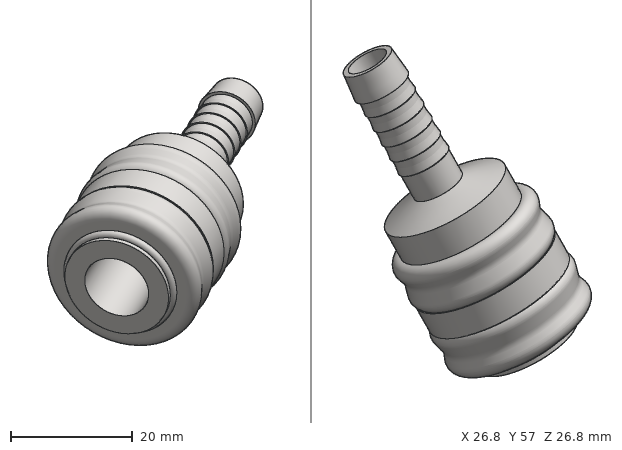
import cadquery as cq
import math

total_length = 57.0

nose_radius = 9.05
nose_length = 0.85
collar_radius = 9.8
collar_round = collar_radius - nose_radius

sleeve_start = 1.95
sleeve_end = 24.0
sleeve_middle = (sleeve_start + sleeve_end) / 2
crest_radius = 13.4
valley_radius = 12.75
waist_radius = 13.05
waist_half_length = 2.5
crest_round = 1.8
valley_round = 1.8
valley_offset = 6.85
inner_crest_offset = 3.9
outer_crest_offset = (sleeve_end - sleeve_start) / 2 - crest_round

body_radius = 11.25
body_end = 29.6
shoulder_end = 32.0

tail_radius = 4.5
tip_barb_radius = 5.0
tip_barb_length = 5.0
ridge_radius = 4.75
ridge_count = 5
ridge_length = 1.5

socket_radius = 5.6
socket_depth = 23.95
seat_radius = 4.55
seat_cone_length = 1.0
through_radius = 3.55


def crest_point(offset, angle):
    """Point (radius, axial offset) on a crest round; angle is from the radial direction."""
    center = crest_radius - crest_round
    return (center + crest_round * math.cos(angle), offset + crest_round * math.sin(angle))


def valley_point(angle):
    """Point (radius, axial offset) on the valley round; angle is from the radial direction."""
    center = valley_radius + valley_round
    return (center - valley_round * math.cos(angle), valley_offset + valley_round * math.sin(angle))


def flank_angle(crest_offset):
    """Slope of the straight flank tangent to a crest round and the valley round."""
    axial = abs(crest_offset - valley_offset)
    rounds = crest_round + valley_round
    radial = rounds - (crest_radius - valley_radius)
    return math.atan2(axial, radial) - math.acos(rounds / math.hypot(axial, radial))


def revolve(profile):
    return profile.close().revolve(360, (0, 0, 0), (0, 1, 0))


def make_band():
    """Rounded grip band on the rear side of the sleeve; its rounds meet at the crests and valley floor."""
    inner_flank = flank_angle(inner_crest_offset)
    outer_flank = flank_angle(outer_crest_offset)
    inner_end_angle = -math.asin((inner_crest_offset - waist_half_length) / crest_round)
    outer_end_angle = math.pi / 2

    def placed(point):
        return (point[0], sleeve_middle + point[1])

    def inner(angle):
        return placed(crest_point(inner_crest_offset, angle))

    def outer(angle):
        return placed(crest_point(outer_crest_offset, angle))

    def valley(angle):
        return placed(valley_point(angle))

    return revolve(
        cq.Workplane("XY")
        .moveTo(0, sleeve_middle + waist_half_length)
        .lineTo(*inner(inner_end_angle))
        .threePointArc(inner(inner_end_angle / 2), inner(0))
        .threePointArc(inner(inner_flank / 2), inner(inner_flank))
        .lineTo(*valley(-inner_flank))
        .threePointArc(valley(-inner_flank / 2), valley(0))
        .threePointArc(valley(outer_flank / 2), valley(outer_flank))
        .lineTo(*outer(-outer_flank))
        .threePointArc(outer(-outer_flank / 2), outer(0))
        .threePointArc(outer(outer_end_angle / 2), outer(outer_end_angle))
        .lineTo(0, sleeve_end)
    )


def make_sleeve():
    rear_band = make_band()
    front_band = rear_band.mirror("XZ", (0, sleeve_middle, 0))
    waist = revolve(
        cq.Workplane("XY")
        .moveTo(0, sleeve_middle - waist_half_length)
        .lineTo(waist_radius, sleeve_middle - waist_half_length)
        .lineTo(waist_radius, sleeve_middle + waist_half_length)
        .lineTo(0, sleeve_middle + waist_half_length)
    )
    return waist.union(rear_band).union(front_band)


def make_core():
    """Nose, body and ridged hose tail as one turned profile."""
    tip_barb_start = total_length - tip_barb_length
    ridges_start = tip_barb_start - 2 * ridge_count * ridge_length
    profile = (
        cq.Workplane("XY")
        .lineTo(nose_radius, 0)
        .lineTo(nose_radius, nose_length)
        .radiusArc((collar_radius, nose_length + collar_round), -collar_round)
        .lineTo(collar_radius, sleeve_start)
        .lineTo(body_radius, sleeve_start)
        .lineTo(body_radius, body_end)
        .lineTo(tail_radius, shoulder_end)
    )
    for index in range(ridge_count):
        ridge_start = ridges_start + 2 * index * ridge_length
        profile = (
            profile.lineTo(tail_radius, ridge_start)
            .lineTo(ridge_radius, ridge_start)
            .lineTo(tail_radius, ridge_start + ridge_length)
        )
    return revolve(
        profile.lineTo(tail_radius, tip_barb_start)
        .lineTo(tip_barb_radius, tip_barb_start)
        .lineTo(tail_radius, total_length)
        .lineTo(0, total_length)
    )


def make_bore():
    """Plug socket with a conical seat, narrowing to the through hole."""
    seat_end = socket_depth + seat_cone_length
    return revolve(
        cq.Workplane("XY")
        .lineTo(socket_radius, 0)
        .lineTo(socket_radius, socket_depth)
        .lineTo(seat_radius, seat_end)
        .lineTo(through_radius, seat_end)
        .lineTo(through_radius, total_length)
        .lineTo(0, total_length)
    )


result = make_core().union(make_sleeve()).cut(make_bore())